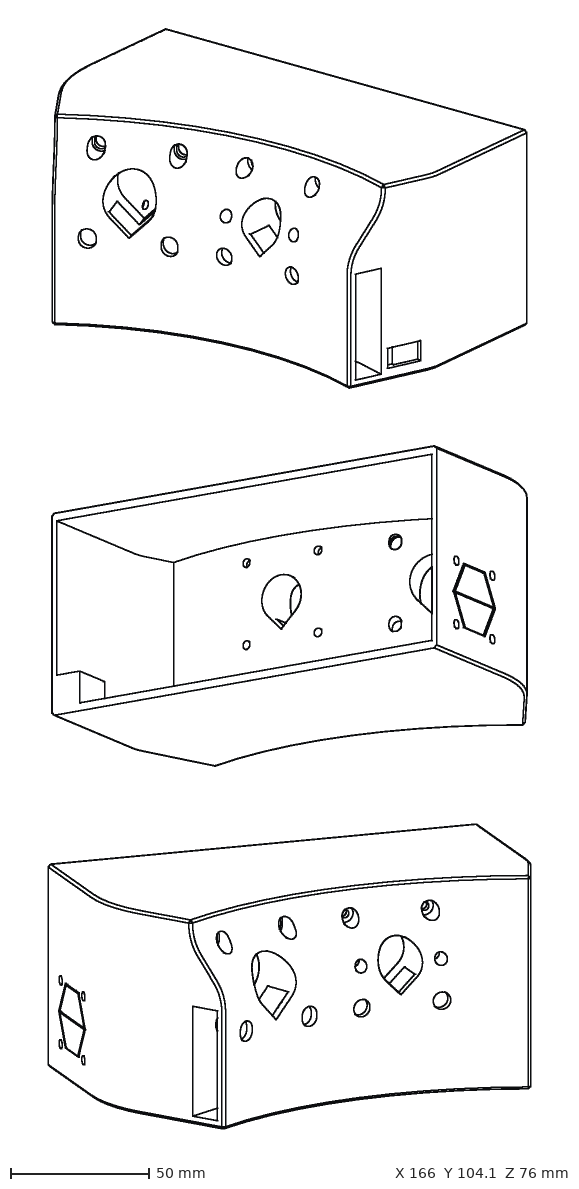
import cadquery as cq
import math


length = 166.0
height = 76.0
wall = 3.0
side_wall = 2.0
edge_chamfer = 1.0
left_x = -106.5
right_x = left_x + length
back_y = 219.0

left_bend_y = 173.5
left_bend_radius = 49.8
left_slant = 34.0
right_bend_y = 167.0
right_bend_radius = 16.6
right_slant = 20.0

front_y = 94.6

front_radius = 137.8
curve_start_z = 44.2
curve_radius = 17.1
curve_angle = 39.0
curve_straight_height = 8.8
cavity_radius = 158.4

channel_inner_radius = front_radius + wall
channel_outer_radius = 151.7
channel_bottom = wall
channel_top = curve_start_z

station_z = 49.8
right_station_angle = 0.0
left_station_angle = -22.1
right_opening_radius = 8.5
left_opening_radius = 10.0
screw_offset = 15.5
head_width = 6.5
right_shank_width = 3.2
left_shank_width = 4.6
left_screw_travel = 1.0
upper_head_seat = 155.0
lower_head_end = (channel_inner_radius + channel_outer_radius) / 2
pin_diameter = 4.6
pin_floor_radius = 146.1

fan_y = back_y - 25.2
fan_z = 23.9
fan_hole_offset = 12.0
fan_hole_diameter = 3.3
hexagon_radius = 14.0
hexagon_groove = 1.0
panel_gap = 0.5
bottom_gap = 0.2
groove_depth = 1.0

port_start_x = 52.8
port_end_x = 57.6
port_bottom = 4.6
port_height = 7.8
post_width = 10.0
post_depth = 16.6
post_top = 15.0


def side_points(x, inward, bend_y, bend_radius, slant_degrees):
    """Bend start, bend middle, bend end and front end of a side wall line."""
    slant = math.radians(slant_degrees)

    def on_bend(angle):
        return (
            x + inward * bend_radius * (1 - math.cos(angle)),
            bend_y - bend_radius * math.sin(angle),
        )

    end_x, end_y = on_bend(slant)
    front = (end_x + inward * (end_y - front_y) * math.tan(slant), front_y)
    return on_bend(0), on_bend(slant / 2), (end_x, end_y), front


def plan_prism(inset, bottom, top):
    """Prism of the plan outline with its sides moved inward; the front is left straight."""
    left = side_points(left_x + inset, 1, left_bend_y, left_bend_radius - inset, left_slant)
    right = side_points(right_x - inset, -1, right_bend_y, right_bend_radius - inset, right_slant)
    return (
        cq.Workplane("XY")
        .workplane(offset=bottom)
        .moveTo(left_x + inset, back_y)
        .lineTo(*left[0])
        .threePointArc(left[1], left[2])
        .lineTo(*left[3])
        .lineTo(*right[3])
        .lineTo(*right[2])
        .threePointArc(right[1], right[0])
        .lineTo(right_x - inset, back_y)
        .close()
        .extrude(top - bottom)
    )


def cylinder(radius, bottom, top):
    return cq.Workplane("XY").workplane(offset=bottom).circle(radius).extrude(top - bottom)


def front_cutter():
    """Revolved body that shapes the stepped front face."""
    angle = math.radians(curve_angle)
    arc_rise = curve_radius * math.sin(angle)
    arc_run = curve_radius * (1 - math.cos(angle))
    half_rise = curve_radius * math.sin(angle / 2)
    half_run = curve_radius * (1 - math.cos(angle / 2))
    straight_run = curve_straight_height * math.tan(angle)
    top_radius = front_radius + 2 * arc_run + straight_run
    curve_end_z = curve_start_z + 2 * arc_rise + curve_straight_height
    return (
        cq.Workplane("XZ")
        .moveTo(0, 0)
        .lineTo(front_radius, 0)
        .lineTo(front_radius, curve_start_z)
        .threePointArc(
            (front_radius + half_run, curve_start_z + half_rise),
            (front_radius + arc_run, curve_start_z + arc_rise),
        )
        .lineTo(top_radius - arc_run, curve_end_z - arc_rise)
        .threePointArc((top_radius - half_run, curve_end_z - half_rise), (top_radius, curve_end_z))
        .lineTo(top_radius, height)
        .lineTo(0, height)
        .close()
        .revolve(360, (0, 0, 0), (0, 1, 0))
    )


def is_outer_corner(edge):
    """True for the edges to chamfer: not on the open back, nor a tangent line within a wall."""
    box = edge.BoundingBox()
    on_back = box.ymin > back_y - edge_chamfer
    level = box.zmax - box.zmin < edge_chamfer
    between_levels = level and edge_chamfer < box.zmin < height - edge_chamfer
    upright = max(box.xmax - box.xmin, box.ymax - box.ymin) < 0.002
    behind_front = math.hypot(box.center.x, box.center.y) > cavity_radius
    return not (on_back or between_levels or (upright and behind_front))


def outer_body():
    body = plan_prism(0, 0, height).cut(front_cutter())
    corners = [edge for edge in body.edges().vals() if is_outer_corner(edge)]
    return body.newObject(corners).chamfer(edge_chamfer)


def cavity():
    """Hollow inside, open at the back."""
    inner_top = height - wall
    return plan_prism(side_wall, wall, inner_top).cut(cylinder(cavity_radius, wall, inner_top))


def channel():
    ring = cylinder(channel_outer_radius, channel_bottom, channel_top).cut(
        cylinder(channel_inner_radius, channel_bottom, channel_top)
    )
    front_half = cq.Workplane("XY").box(2 * length, length, height, (True, False, False))
    return ring.intersect(front_half.translate((0, front_y, 0)))


def station_plane(angle_degrees):
    """Workplane at the front centre, facing along a station axis into the part, local y up."""
    angle = math.radians(angle_degrees)
    axis = (math.sin(angle), math.cos(angle), 0)
    return cq.Workplane(cq.Plane((0, 0, station_z), (-axis[1], axis[0], 0), axis))


def drop_opening(angle_degrees, radius):
    """Round opening that runs down at 45 degrees to a point."""
    tangent = radius * math.sqrt(0.5)
    return (
        station_plane(angle_degrees)
        .moveTo(0, -radius * math.sqrt(2))
        .lineTo(tangent, -tangent)
        .threePointArc((0, radius), (-tangent, -tangent))
        .close()
        .extrude(back_y)
    )


def upright_slot(workplane, width, travel, depth):
    """Hole stretched by the travel along local y; a plain round hole without travel."""
    if travel == 0:
        return workplane.circle(width / 2).extrude(depth)
    return workplane.slot2D(width + travel, width, 90).extrude(depth)


def station_screws(angle_degrees, shank_width, travel):
    """Four stepped holes; the lower heads open into the channel and the upper ones have a seat."""
    plane = station_plane(angle_degrees)
    holes = cq.Workplane("XY")
    for side in (-screw_offset, screw_offset):
        for level, head_end in ((-screw_offset, lower_head_end), (screw_offset, upper_head_seat)):
            centre = plane.center(side, level)
            holes.add(upright_slot(centre, shank_width, travel, cavity_radius + wall))
            holes.add(upright_slot(centre, head_width, travel, head_end))
    return holes.combine()


def pin_holes():
    sides = [(-screw_offset, 0), (screw_offset, 0)]
    plane = station_plane(right_station_angle)
    return plane.pushPoints(sides).circle(pin_diameter / 2).extrude(pin_floor_radius)


def fan_plane():
    """Workplane on the left wall, local x along -Y and local y up, facing out of the part."""
    return cq.Workplane(cq.Plane((left_x, fan_y, fan_z), (0, -1, 0), (-1, 0, 0)))


def fan_holes():
    corners = [
        (x, y) for x in (-fan_hole_offset, fan_hole_offset) for y in (-fan_hole_offset, fan_hole_offset)
    ]
    return fan_plane().pushPoints(corners).circle(fan_hole_diameter / 2).extrude(-2 * side_wall)


def fan_panel(edge_y, middle_y):
    """Trapezoid between the long middle line and the short outer edge of the hexagon."""
    slope = 1 / math.sqrt(3)
    half_edge = hexagon_radius - hexagon_groove - abs(edge_y) * slope
    half_middle = hexagon_radius - hexagon_groove - abs(middle_y) * slope
    outline = [
        (-half_edge, edge_y),
        (half_edge, edge_y),
        (half_middle, middle_y),
        (-half_middle, middle_y),
    ]
    return fan_plane().polyline(outline).close().extrude(-groove_depth)


def fan_groove():
    half_height = hexagon_radius * math.sqrt(3) / 2
    hexagon = fan_plane().polygon(6, 2 * hexagon_radius).extrude(-groove_depth)
    upper = fan_panel(half_height - panel_gap, panel_gap / 2)
    lower = fan_panel(bottom_gap - half_height, -panel_gap / 2)
    return hexagon.cut(upper).cut(lower)


def port():
    """Rectangular port, square to the right slanted wall."""
    slant = math.radians(right_slant)
    wall_end = side_points(right_x, -1, right_bend_y, right_bend_radius, right_slant)[2]
    middle_x = (port_start_x + port_end_x) / 2
    middle_y = wall_end[1] - (wall_end[0] - middle_x) / math.tan(slant)
    width = (port_end_x - port_start_x) / math.sin(slant)
    outward = (math.cos(slant), -math.sin(slant), 0)
    along_wall = (math.sin(slant), math.cos(slant), 0)
    plane = cq.Plane((middle_x, middle_y, port_bottom + port_height / 2), along_wall, outward)
    return cq.Workplane(plane).rect(width, port_height).extrude(wall, both=True)


def corner_post():
    """Block in the lower back corner, in line with the port."""
    return (
        cq.Workplane("XY")
        .box(post_width, post_depth, post_top - wall, (False, False, False))
        .translate((right_x - side_wall - post_width, back_y - post_depth, wall))
    )


result = outer_body().cut(cavity().cut(corner_post())).cut(channel())
for station_angle, opening_radius, shank_width, travel in (
    (right_station_angle, right_opening_radius, right_shank_width, 0),
    (left_station_angle, left_opening_radius, left_shank_width, left_screw_travel),
):
    result = result.cut(drop_opening(station_angle, opening_radius))
    result = result.cut(station_screws(station_angle, shank_width, travel))
result = result.cut(pin_holes()).cut(fan_holes()).cut(fan_groove()).cut(port())